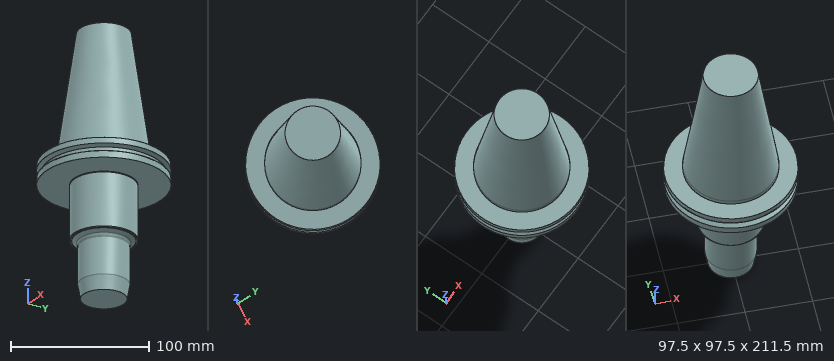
import cadquery as cq
import math

total_length = 211.5

taper_diameter = 69.8
taper_length = 101.8
taper_ratio = 7 / 24
collar_height = 3.2

flange_diameter = 97.5
flange_height = 15.9
groove_floor_diameter = 91.0
groove_floor_width = 2.8
groove_mouth_width = 6.1
groove_center_drop = 7.6

body_diameter = 50.0
body_bottom = 46.3
body_chamfer = 0.6
relief_height = 0.6
relief_depth = 0.2
nose_diameter = 38.0
cone_top_radius = 23.3
cone_slope = math.radians(30)
neck_fillet = 2.1
neck_step = 0.2
neck_step_height = 0.8
neck_bottom = 41.5
tip_diameter = 34.0
tip_height = 11.5

gauge_plane = total_length - taper_length
flange_top = gauge_plane - collar_height
flange_bottom = flange_top - flange_height
groove_center = flange_top - groove_center_drop


def revolved_band(stations):
    """Revolve a solid about Z from (diameter, height) stations."""
    points = [(diameter / 2, height) for diameter, height in stations]
    axis_points = [(0, stations[-1][1]), (0, stations[0][1])]
    profile = cq.Workplane("XZ").polyline(points + axis_points).close()
    return profile.revolve(360, (0, 0, 0), (0, 1, 0))


def shank():
    small_diameter = taper_diameter - taper_length * taper_ratio
    return revolved_band([
        (taper_diameter, flange_top),
        (taper_diameter, gauge_plane),
        (small_diameter, total_length),
    ])


def flange():
    return revolved_band([
        (flange_diameter, flange_bottom),
        (flange_diameter, groove_center - groove_mouth_width / 2),
        (groove_floor_diameter, groove_center - groove_floor_width / 2),
        (groove_floor_diameter, groove_center + groove_floor_width / 2),
        (flange_diameter, groove_center + groove_mouth_width / 2),
        (flange_diameter, flange_top),
    ])


def body_and_nose():
    body_radius = body_diameter / 2
    nose_radius = nose_diameter / 2
    neck_radius = nose_radius - neck_step
    cone_corner = body_bottom - (cone_top_radius - neck_radius) * math.tan(cone_slope)
    blend_length = neck_fillet * math.tan((math.pi / 2 - cone_slope) / 2)
    blend_top_radius = neck_radius + blend_length * math.cos(cone_slope)
    blend_top = cone_corner + blend_length * math.sin(cone_slope)
    profile = (
        cq.Workplane("XZ")
        .lineTo(tip_diameter / 2, 0)
        .lineTo(nose_radius, tip_height)
        .lineTo(nose_radius, neck_bottom)
        .lineTo(neck_radius, neck_bottom + neck_step_height)
        .lineTo(neck_radius, cone_corner - blend_length)
        .tangentArcPoint((blend_top_radius, blend_top), relative=False)
        .lineTo(cone_top_radius, body_bottom)
        .lineTo(body_radius - body_chamfer, body_bottom)
        .lineTo(body_radius, body_bottom + body_chamfer)
        .lineTo(body_radius, flange_bottom - relief_height)
        .lineTo(body_radius - relief_depth, flange_bottom - relief_height)
        .lineTo(body_radius - relief_depth, flange_bottom)
        .lineTo(0, flange_bottom)
        .close()
    )
    return profile.revolve(360, (0, 0, 0), (0, 1, 0))


result = shank().union(flange()).union(body_and_nose())